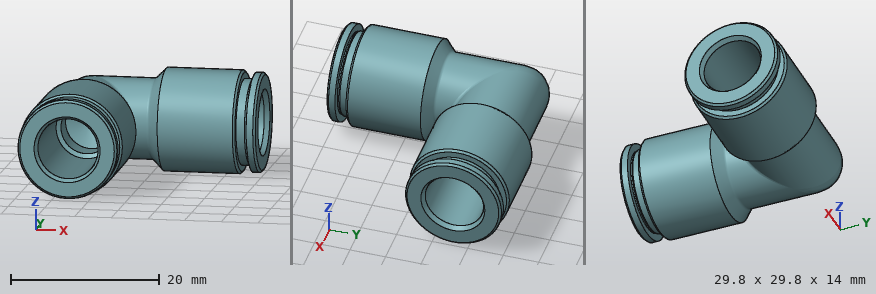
import math

import cadquery as cq

arm_length = 22.75
elbow_radius = 5.5

outer_corner_radius = 2.6
inner_corner_radius = 0.5

collar_radius = 7.0
collar_start = 9.45
collar_end = 20.0
collar_chamfer = 0.3
root_fillet = 0.5
shoulder_angle = math.radians(45)
shoulder_foot = collar_start - (collar_radius - elbow_radius) / math.tan(shoulder_angle)
root_start = shoulder_foot - root_fillet * math.tan(shoulder_angle / 2)

neck_radius = 5.85
neck_tip_radius = 5.7
neck_taper_start = 21.15
neck_taper_end = 21.35
flange_radius = 6.75
flange_start = 21.55
flange_chamfer = 0.3

mouth_radius = 4.5
socket_radius = 4.1
stop_radius = 3.5
stop_start = 8.0
floor_start = 4.5
mouth_angle = math.radians(30)
stop_angle = math.radians(60)
floor_angle = math.radians(70)
mouth_depth = (mouth_radius - socket_radius) / math.tan(mouth_angle)
stop_depth = (socket_radius - stop_radius) / math.tan(stop_angle)
floor_depth = stop_radius / math.tan(floor_angle)

rim_overlap = outer_corner_radius / 4
wedge_reach = 2 * elbow_radius
joint_tolerance = 1e-4


def mitred_arms():
    """Two equal cylinders meeting at 90 degrees in a sharp mitre on the plane x + y = 0."""
    path = cq.Workplane("XY").moveTo(0, -root_start).lineTo(0, 0).lineTo(root_start, 0)
    start_plane = cq.Workplane("XZ", origin=(0, -root_start, 0))
    return start_plane.circle(elbow_radius).sweep(path, transition="right")


def mitre_ellipse(radius):
    """Ellipse in which a cylinder of the given radius crosses the mitre plane."""
    mitre_plane = cq.Plane(origin=(0, 0, 0), xDir=(-1, 1, 0), normal=(1, 1, 0))
    return cq.Workplane(mitre_plane).ellipse(radius * math.sqrt(2), radius)


def section_at_vertex(radius, side):
    """Workplane across the mitre ellipse at its outer (+1) or inner (-1) vertex, local +X outward."""
    vertex = (-side * radius, side * radius, 0)
    return cq.Workplane(cq.Plane(origin=vertex, xDir=(-side, side, 0), normal=(0, 0, 1)))


def corner_wedge(radius, side):
    """Upright wedge between the two planes in which a rounding meets the arms.

    The ball that forms the rounding rolls along the mitre ellipse of the given radius,
    so it touches both arms on planes through the elbow's vertical centre line.
    """
    far = side * wedge_reach
    near = far * min(radius, elbow_radius) / max(radius, elbow_radius)
    outline = [(0, 0), (-near, far), (-far, far), (-far, near)]
    return cq.Workplane("XY").polyline(outline).close().extrude(wedge_reach, both=True)


def outer_corner():
    """Rolling-ball rounding of the outer mitre edge, fading out at the top and bottom of the elbow."""
    radius = elbow_radius - outer_corner_radius
    rim_section = (
        section_at_vertex(radius, 1)
        .moveTo(0, outer_corner_radius)
        .threePointArc((outer_corner_radius, 0), (0, -outer_corner_radius))
        .hLineTo(-rim_overlap)
        .vLineTo(outer_corner_radius)
        .close()
    )
    rim = rim_section.sweep(mitre_ellipse(radius))
    core = mitre_ellipse(radius).extrude(outer_corner_radius / 2, both=True)
    return rim.union(core).intersect(corner_wedge(radius, 1))


def inner_corner():
    """Concave rolling-ball fillet along the inner mitre edge."""
    radius = elbow_radius + inner_corner_radius
    filled = mitre_ellipse(radius).extrude(inner_corner_radius, both=True)
    ball_path = section_at_vertex(radius, -1).circle(inner_corner_radius).sweep(mitre_ellipse(radius))
    return filled.intersect(corner_wedge(radius, -1)).cut(ball_path)


def elbow():
    """Mitred arms with both mitre edges rounded."""
    sharp_corner = corner_wedge(elbow_radius - outer_corner_radius, 1)
    body = mitred_arms().cut(sharp_corner)
    for corner in (outer_corner(), inner_corner()):
        body = body.union(corner, tol=joint_tolerance)
    return body


def revolve_about_x(profile):
    return profile.close().revolve(360, (0, 0, 0), (1, 0, 0))


def root_fillet_point(angle):
    """Point of the concave root fillet where its tangent has turned by the given angle."""
    return (
        root_start + root_fillet * math.sin(angle),
        elbow_radius + root_fillet * (1 - math.cos(angle)),
    )


def grip():
    """Collar, neck and flange of the arm along +X."""
    profile = (
        cq.Workplane("XY")
        .moveTo(root_start, 0)
        .lineTo(root_start, elbow_radius)
        .threePointArc(root_fillet_point(shoulder_angle / 2), root_fillet_point(shoulder_angle))
        .lineTo(collar_start, collar_radius)
        .lineTo(collar_end - collar_chamfer, collar_radius)
        .lineTo(collar_end, collar_radius - collar_chamfer)
        .lineTo(collar_end, neck_radius)
        .lineTo(neck_taper_start, neck_radius)
        .lineTo(neck_taper_end, neck_tip_radius)
        .lineTo(flange_start, neck_tip_radius)
        .lineTo(flange_start, flange_radius)
        .lineTo(arm_length - flange_chamfer, flange_radius)
        .lineTo(arm_length, flange_radius - flange_chamfer)
        .lineTo(arm_length, 0)
    )
    return revolve_about_x(profile)


def bore():
    """Blind tube bore of the arm along +X."""
    profile = cq.Workplane("XY").polyline([
        (arm_length, 0),
        (arm_length, mouth_radius),
        (arm_length - mouth_depth, socket_radius),
        (stop_start + stop_depth, socket_radius),
        (stop_start, stop_radius),
        (floor_start, stop_radius),
        (floor_start - floor_depth, 0),
    ])
    return revolve_about_x(profile)


def on_both_arms(shape):
    """The shape on the +X arm and its copy turned onto the -Y arm."""
    return [shape, shape.rotate((0, 0, 0), (0, 0, 1), -90)]


result = elbow()
for arm_grip in on_both_arms(grip()):
    result = result.union(arm_grip)
for arm_bore in on_both_arms(bore()):
    result = result.cut(arm_bore)